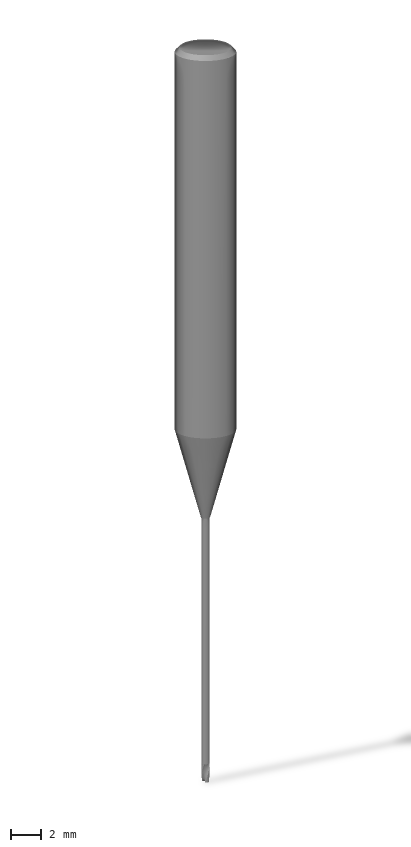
import cadquery as cq
import math

total_length = 50.0
shank_diameter = 4.0
shank_chamfer = 0.3
shank_start = 24.0
neck_end = 18.0
neck_diameter = 0.5
cone_tip_diameter = 0.6

head_length = 1.25
head_diameter = 0.5
web_thickness = 0.2
flute_count = 2
flute_radius = 0.75
helix_lead = 4.25
end_notch_width = 0.3
end_notch_depth = 0.2

shank_radius = shank_diameter / 2
neck_radius = neck_diameter / 2
cone_tip_radius = cone_tip_diameter / 2
head_radius = head_diameter / 2


def make_shank():
    """Chamfered shank, taper and slim neck, turned as one solid."""
    return (
        cq.Workplane("XZ")
        .moveTo(0, head_length)
        .lineTo(neck_radius, head_length)
        .lineTo(neck_radius, neck_end)
        .lineTo(cone_tip_radius, neck_end)
        .lineTo(shank_radius, shank_start)
        .lineTo(shank_radius, total_length - shank_chamfer)
        .lineTo(shank_radius - shank_chamfer, total_length)
        .lineTo(0, total_length)
        .close()
        .revolve(360, (0, 0, 0), (0, 1, 0))
    )


def make_flute_section():
    """Round section with one circular flute cut in from each side of the web."""
    section = cq.Sketch().circle(head_radius)
    flute_offset = web_thickness / 2 + flute_radius
    for index in range(flute_count):
        angle = math.pi / 2 + index * 2 * math.pi / flute_count
        center = cq.Vector(flute_offset * math.cos(angle), flute_offset * math.sin(angle))
        section = section.push([center]).circle(flute_radius, mode="s").reset()
    return section


def make_end_notch():
    """V-shaped notch across the end face that separates the two cutting lips."""
    return (
        cq.Workplane("XZ")
        .moveTo(-end_notch_width / 2, 0)
        .lineTo(end_notch_width / 2, 0)
        .lineTo(0, end_notch_depth)
        .close()
        .extrude(head_radius, both=True)
    )


def make_cutting_head():
    """Right-hand helical flutes from the end face up to the neck."""
    twist = 360 * head_length / helix_lead
    helix = cq.Workplane("XY").placeSketch(make_flute_section()).twistExtrude(head_length, twist)
    return helix.cut(make_end_notch())


shank = make_shank()
cutting_head = make_cutting_head()

result = cq.Compound.makeCompound([shank.val(), *cutting_head.solids().vals()])